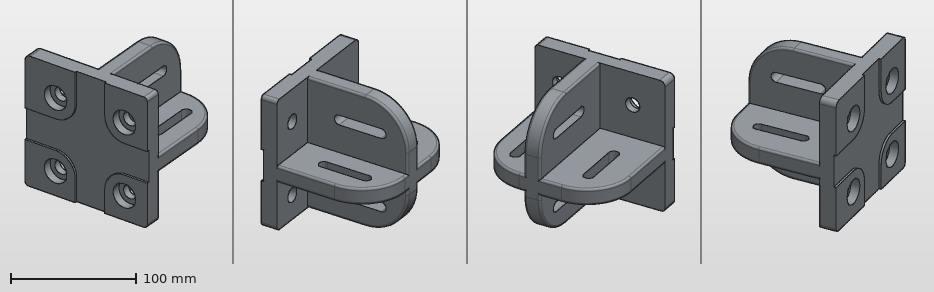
import cadquery as cq

plate_side = 120.0
plate_thickness = 15.0
main_corner_radius = 5.0
small_corner_radius = 3.5

overall_depth = 110.0
fin_thickness = 15.0
fin_corner_radius = 40.5
fin_edge_fillet = 2.0

near_offset = 30.0
far_offset = 37.5
hole_diameter = 13.0
counterbore_diameter = 22.0
counterbore_depth = 8.0

slot_width = 9.0
slot_length = 49.0
slot_start = 40.5

pad_margin = 19.2
groove_depth = 2.0

half_side = plate_side / 2
full_span = (-half_side, half_side)
hole_points = [(x, z) for x in (-near_offset, far_offset) for z in (near_offset, -far_offset)]


def block(x_range, y_range, z_range):
    """Box spanning the given (low, high) limits."""
    lows, highs = zip(x_range, y_range, z_range)
    sizes = [high - low for low, high in zip(lows, highs)]
    return cq.Workplane("XY").box(*sizes, centered=False).translate(lows)


def cylinders(diameter, depth):
    """Round cutters at every hole, running from the groove face into the plate."""
    return cq.Workplane("XZ").pushPoints(hole_points).circle(diameter / 2).extrude(-depth)


def make_plate():
    """Square plate with one larger and three smaller rounded corners."""
    plate = block(full_span, (0, plate_thickness), full_span)
    plate = plate.edges("|Y and <X and >Z").fillet(main_corner_radius)
    for corner in ("|Y and >X and >Z", "|Y and >X and <Z", "|Y and <X and <Z"):
        plate = plate.edges(corner).fillet(small_corner_radius)
    return plate


def make_groove():
    """Cross-shaped groove: a full layer minus the four rounded corner pads."""
    layer_span = (0, groove_depth)
    groove = block(full_span, layer_span, full_span)
    for x, z in hole_points:
        x_side = 1 if x > 0 else -1
        z_side = 1 if z > 0 else -1
        x_range = sorted((x - x_side * pad_margin, x_side * plate_side))
        z_range = sorted((z - z_side * pad_margin, z_side * plate_side))
        inner_corner = ("<X" if x_side > 0 else ">X") + " and " + ("<Z" if z_side > 0 else ">Z")
        pad = block(x_range, layer_span, z_range)
        groove = groove.cut(pad.edges("|Y and " + inner_corner).fillet(pad_margin))
    return groove


def make_horizontal_fin():
    """Fin below the XY plane, with rounded far corners and softened edges."""
    fin = block(full_span, (0, overall_depth), (-fin_thickness, 0))
    fin = fin.edges("|Z and >Y").fillet(fin_corner_radius)
    return fin.faces("<Z or >Z").edges("not <Y").fillet(fin_edge_fillet)


def make_horizontal_fin_slots():
    """Pair of slots along Y, in line with the hole columns."""
    return (
        cq.Workplane("XY")
        .pushPoints([(x, slot_start + slot_length / 2) for x in (-near_offset, far_offset)])
        .slot2D(slot_length, slot_width, 90)
        .extrude(-fin_thickness)
    )


def reflect_upright(body):
    """Reflection that carries -Z to +X and -X to +Z, leaving Y alone."""
    return body.mirror("YZ").rotate((0, 0, 0), (0, 1, 0), -90)


fin = make_horizontal_fin()
fin_slots = make_horizontal_fin_slots()

result = make_plate().union(fin).union(reflect_upright(fin))
result = result.cut(fin_slots).cut(reflect_upright(fin_slots))
result = result.cut(make_groove())
result = result.cut(cylinders(hole_diameter, plate_thickness))
result = result.cut(cylinders(counterbore_diameter, counterbore_depth))